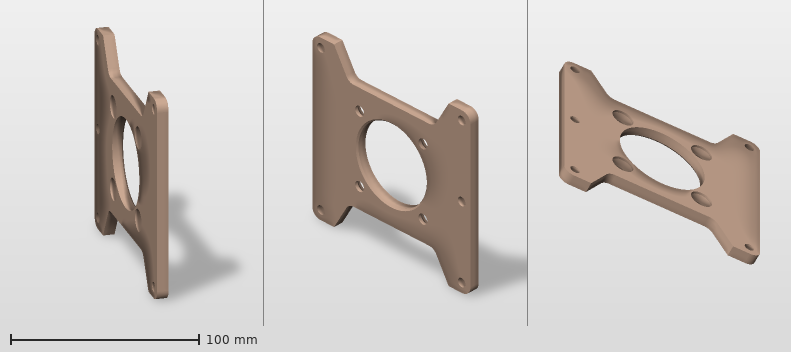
import cadquery as cq
import math

width = 117.5
thickness = 6.3
height = 114.3
corner_radius = 6.0

waist_height = 76.4
waist_width = 63.2
slope_angle = 60.0
waist_fillet = 6.0

bore_diameter = 50.9
bore_chamfer = 1.0
edge_hole_diameter = 5.6
edge_hole_x = 52.3
edge_hole_z = 50.8
screw_hole_diameter = 6.6
screw_head_diameter = 12.6
screw_head_recess = 1.3
countersink_angle = 90.0
screw_spacing = 47.1

notch_depth = (height - waist_height) / 2
notch_run = notch_depth / math.tan(math.radians(slope_angle))
notch_mouth_width = waist_width + 2 * notch_run


def front_plane():
    """Sketch plane on the front face: local x is X, local y is Z."""
    return cq.Workplane("XZ", origin=(0, -thickness / 2, 0))


def make_plate():
    """Rectangular plate with rounded corners and a notch in the top and bottom edges."""
    plate = cq.Workplane("XY").box(width, thickness, height)
    plate = plate.edges("|Y").fillet(corner_radius)
    for side in (1, -1):
        floor_z = side * waist_height / 2
        mouth_z = side * height / 2
        notch = (
            front_plane()
            .moveTo(-notch_mouth_width / 2, mouth_z)
            .lineTo(-waist_width / 2, floor_z)
            .lineTo(waist_width / 2, floor_z)
            .lineTo(notch_mouth_width / 2, mouth_z)
            .close()
            .extrude(-thickness)
        )
        floor_edges = "<Z" if side > 0 else ">Z"
        plate = plate.cut(notch.faces(floor_edges).edges("|Y").fillet(waist_fillet))
    return plate


def cut_bore(plate):
    """Through bore, chamfered at the back face."""
    bore = front_plane().circle(bore_diameter / 2).extrude(-thickness)
    bored_plate = plate.cut(bore)
    back_rim = bored_plate.faces(">Y").edges(cq.selectors.RadiusNthSelector(-1))
    return back_rim.chamfer(bore_chamfer)


def cut_edge_holes(plate):
    """Four corner holes and one more halfway up the left edge."""
    points = [(x, z) for x in (-edge_hole_x, edge_hole_x) for z in (-edge_hole_z, edge_hole_z)]
    points.append((-edge_hole_x, 0))
    holes = front_plane().pushPoints(points).circle(edge_hole_diameter / 2).extrude(-thickness)
    return plate.cut(holes)


def cut_screw_holes(plate):
    """Square pattern of screw holes with a short straight recess above each countersink."""
    hole_radius = screw_hole_diameter / 2
    head_radius = screw_head_diameter / 2
    cone_depth = (head_radius - hole_radius) / math.tan(math.radians(countersink_angle / 2))
    cutter = (
        cq.Workplane("XY", origin=(0, -thickness / 2, 0))
        .lineTo(head_radius, 0)
        .lineTo(head_radius, screw_head_recess)
        .lineTo(hole_radius, screw_head_recess + cone_depth)
        .lineTo(hole_radius, thickness)
        .lineTo(0, thickness)
        .close()
        .revolve(360, (0, 0, 0), (0, 1, 0))
    )
    for x in (-screw_spacing / 2, screw_spacing / 2):
        for z in (-screw_spacing / 2, screw_spacing / 2):
            plate = plate.cut(cutter.translate((x, 0, z)))
    return plate


result = cut_screw_holes(cut_edge_holes(cut_bore(make_plate())))